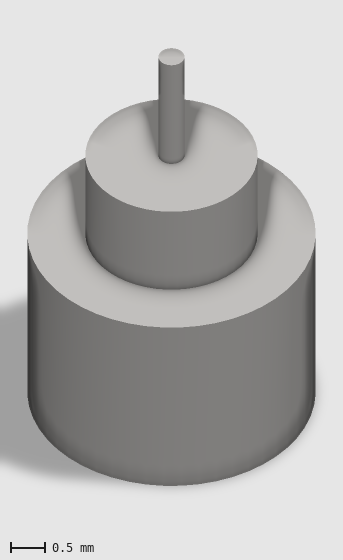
import cadquery as cq

body_diameter = 4.2
body_height = 3.05
collar_diameter = 2.51
collar_height = 1.5
insert_diameter = 1.95
pin_diameter = 0.38
total_height = 6.45

collar_top = body_height + collar_height


def cylinder(diameter, bottom, top):
    """Upright cylinder on the Z axis between two heights."""
    base = cq.Workplane("XY").workplane(offset=bottom)
    return base.circle(diameter / 2).extrude(top - bottom)


body = cylinder(body_diameter, 0, body_height)
insert = cylinder(insert_diameter, body_height, collar_top)
collar = cylinder(collar_diameter, body_height, collar_top).cut(insert)
pin = cylinder(pin_diameter, collar_top, total_height)

result = body.union(collar).union(insert, clean=False).union(pin, clean=False)